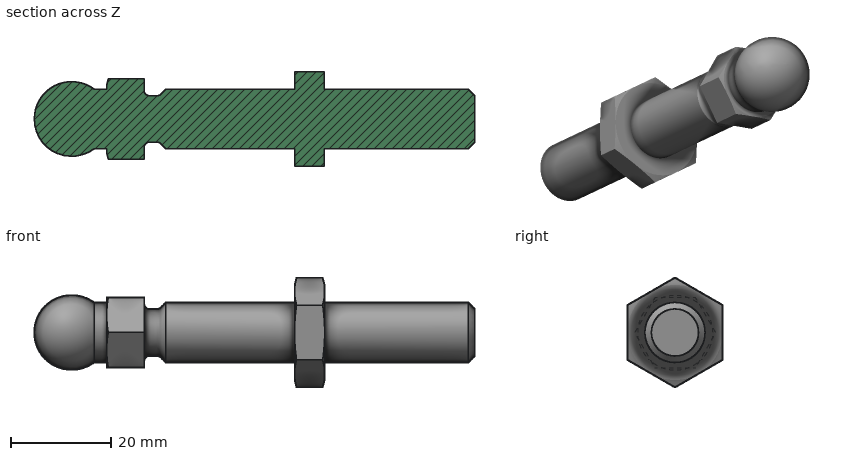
import cadquery as cq
import math

ball_diameter = 15.0
shank_diameter = 12.0
overall_length = 88.0
end_chamfer = 1.3

wrench_across_flats = 14.0
wrench_start = 7.0
wrench_width = 7.5
wrench_bevel_angle = 15.0

undercut_diameter = 9.4
undercut_fillet = 1.0
undercut_length = 4.3
undercut_flank_angle = 45.0

nut_across_flats = 19.0
nut_start = 44.5
nut_width = 6.0
nut_bevel_angle = 15.0

ball_radius = ball_diameter / 2
shank_radius = shank_diameter / 2
undercut_radius = undercut_diameter / 2
wrench_end = wrench_start + wrench_width
shank_start = wrench_end + undercut_length
stud_end = overall_length - ball_radius


def stud_body():
    """Revolve the ball, neck, undercut and shank about the X axis."""
    neck_start = math.sqrt(ball_radius**2 - shank_radius**2)
    flank_angle = math.radians(undercut_flank_angle)
    half_angle = flank_angle / 2

    first_center_x = wrench_end + undercut_fillet
    center_radius = undercut_radius + undercut_fillet
    quarter_mid = undercut_fillet * math.sqrt(0.5)

    fillet_top = center_radius - undercut_fillet * math.cos(flank_angle)
    flank_start = shank_start - (shank_radius - fillet_top) / math.tan(flank_angle)
    second_center_x = flank_start - undercut_fillet * math.sin(flank_angle)
    second_mid = (
        second_center_x + undercut_fillet * math.sin(half_angle),
        center_radius - undercut_fillet * math.cos(half_angle),
    )

    return (
        cq.Workplane("XY")
        .moveTo(-ball_radius, 0)
        .threePointArc((0, ball_radius), (neck_start, shank_radius))
        .lineTo(wrench_end, shank_radius)
        .lineTo(wrench_end, center_radius)
        .threePointArc(
            (first_center_x - quarter_mid, center_radius - quarter_mid),
            (first_center_x, undercut_radius),
        )
        .lineTo(second_center_x, undercut_radius)
        .threePointArc(second_mid, (flank_start, fillet_top))
        .lineTo(shank_start, shank_radius)
        .lineTo(stud_end - end_chamfer, shank_radius)
        .lineTo(stud_end, shank_radius - end_chamfer)
        .lineTo(stud_end, 0)
        .close()
        .revolve(360, (0, 0, 0), (1, 0, 0))
    )


def hexagon(start, width, across_flats, turn, bevel_angle, bevel_far_side):
    """Hexagonal prism along X whose corners are bevelled by a cone.

    With no turn two corners point along Y; the near face is always bevelled.
    """
    corner_radius = across_flats / math.sqrt(3)
    face_radius = across_flats / 2
    bevel_depth = (corner_radius - face_radius) * math.tan(math.radians(bevel_angle))
    end = start + width
    prism = (
        cq.Workplane("YZ", origin=(start, 0, 0))
        .polygon(6, 2 * corner_radius)
        .extrude(width)
        .rotate((0, 0, 0), (1, 0, 0), turn)
    )
    envelope = (
        cq.Workplane("XY")
        .moveTo(start, 0)
        .lineTo(start, face_radius)
        .lineTo(start + bevel_depth, corner_radius)
    )
    if bevel_far_side:
        envelope = envelope.lineTo(end - bevel_depth, corner_radius).lineTo(end, face_radius)
    else:
        envelope = envelope.lineTo(end, corner_radius)
    envelope = envelope.lineTo(end, 0).close().revolve(360, (0, 0, 0), (1, 0, 0))
    return prism.intersect(envelope)


wrench_hexagon = hexagon(
    wrench_start, wrench_width, wrench_across_flats, 0, wrench_bevel_angle, bevel_far_side=False
)
lock_nut = hexagon(nut_start, nut_width, nut_across_flats, 90, nut_bevel_angle, bevel_far_side=True)

result = stud_body().union(wrench_hexagon).union(lock_nut)